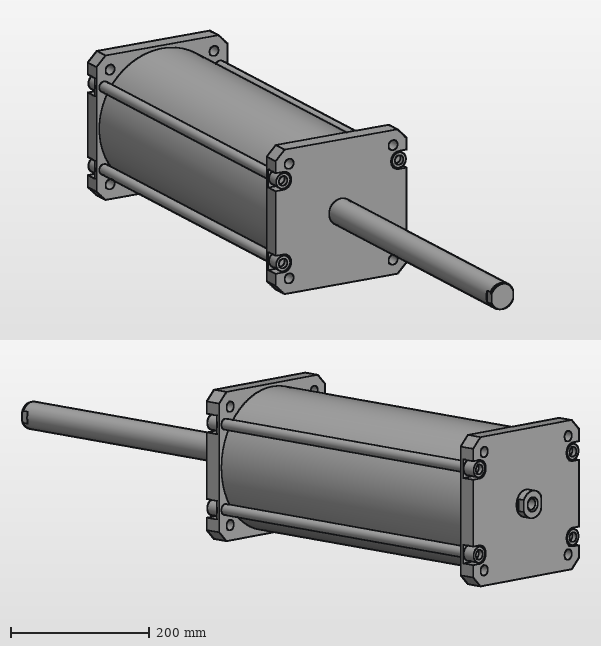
import cadquery as cq
import math

TOTAL_LENGTH = 1012.0

PLATE_SIZE = 220.0
PLATE_THICKNESS = 25.0
PLATE_CORNER_CHAMFER = 15.0
MOUNT_HOLE_OFFSET = 87.0
MOUNT_HOLE_DIAMETER = 15.0

TUBE_LENGTH = 487.0
TUBE_DIAMETER = 210.0

ROD_DIAMETER = 40.0
ROD_REAR_PROJECTION = 13.0
ROD_ACROSS_FLATS = 36.0
REAR_FLAT_LENGTH = 10.0
FRONT_FLAT_LENGTH = 12.0
FRONT_TAPER_LENGTH = 3.0
FRONT_TAPER_DEPTH = 1.0
BORE_DIAMETER = 16.0
BORE_DEPTH = 30.0
BORE_MOUTH_DIAMETER = 21.0
BORE_TIP_ANGLE = 118

TIE_ROD_Y = 97.0
TIE_ROD_Z = 63.0
TIE_ROD_DIAMETER = 16.0
HEAD_DIAMETER = 23.0
HEAD_RECESS_WIDTH = 27.0
HEAD_RECESS_DEPTH = 20.0
SOCKET_DIAMETER = 14.0
SOCKET_DEPTH = 8.0

REAR_PLATE_X = ROD_REAR_PROJECTION
TUBE_X = REAR_PLATE_X + PLATE_THICKNESS
FRONT_PLATE_X = TUBE_X + TUBE_LENGTH
FRONT_FACE_X = FRONT_PLATE_X + PLATE_THICKNESS

SIDES = (-1, 1)
TIE_ROD_POINTS = [(y * TIE_ROD_Y, z * TIE_ROD_Z) for y in SIDES for z in SIDES]
MOUNT_POINTS = [(y * MOUNT_HOLE_OFFSET, z * MOUNT_HOLE_OFFSET) for y in SIDES for z in SIDES]


def section(x):
    """Sketch plane across the cylinder axis, whose local axes are global Y and Z."""
    return cq.Workplane("YZ", origin=(x, 0, 0))


def head_recess(x, y, z):
    """Round pocket for a tie rod head, open through the nearer Y side of the plate."""
    side = 1 if y > 0 else -1
    slot_length = PLATE_SIZE / 2 - abs(y)
    pocket = section(x).center(y, z).circle(HEAD_RECESS_WIDTH / 2).extrude(HEAD_RECESS_DEPTH)
    slot = (
        section(x)
        .center(y + side * slot_length / 2, z)
        .rect(slot_length, HEAD_RECESS_WIDTH)
        .extrude(HEAD_RECESS_DEPTH)
    )
    return pocket.union(slot)


def end_plate(x, recess_x):
    """Square plate from x, with its head recesses starting at recess_x."""
    plate = section(x).rect(PLATE_SIZE, PLATE_SIZE).extrude(PLATE_THICKNESS)
    plate = plate.edges("|X").chamfer(PLATE_CORNER_CHAMFER)
    holes = section(x).circle(ROD_DIAMETER / 2).extrude(PLATE_THICKNESS)
    holes = holes.union(
        section(x).pushPoints(MOUNT_POINTS).circle(MOUNT_HOLE_DIAMETER / 2).extrude(PLATE_THICKNESS)
    )
    holes = holes.union(
        section(x).pushPoints(TIE_ROD_POINTS).circle(TIE_ROD_DIAMETER / 2).extrude(PLATE_THICKNESS)
    )
    plate = plate.cut(holes)
    for y, z in TIE_ROD_POINTS:
        plate = plate.cut(head_recess(recess_x, y, z))
    return plate


def cylinder_tube():
    """Barrel between the plates, bored to run on the piston rod."""
    return section(TUBE_X).circle(TUBE_DIAMETER / 2).circle(ROD_DIAMETER / 2).extrude(TUBE_LENGTH)


def rod_flats(x, length):
    """Material removed outside the two wrench flats, which face -Y and +Y."""
    return section(x).rect(2 * ROD_DIAMETER, ROD_DIAMETER).rect(ROD_ACROSS_FLATS, ROD_DIAMETER).extrude(length)


def rear_bore():
    """Blind bore in the rear end of the rod, with a countersunk mouth and a drill-point bottom."""
    radius = BORE_DIAMETER / 2
    mouth_radius = BORE_MOUTH_DIAMETER / 2
    tip_length = radius / math.tan(math.radians(BORE_TIP_ANGLE / 2))
    half_profile = (
        cq.Workplane("XY")
        .lineTo(0, mouth_radius)
        .lineTo(mouth_radius - radius, radius)
        .lineTo(BORE_DEPTH, radius)
        .lineTo(BORE_DEPTH + tip_length, 0)
        .close()
    )
    return half_profile.revolve(360, (0, 0, 0), (1, 0, 0))


def piston_rod():
    """Through rod with wrench flats at both ends, a rear bore and a tapered front end."""
    rod = section(0).circle(ROD_DIAMETER / 2).extrude(TOTAL_LENGTH)
    rod = rod.faces(">X").chamfer(FRONT_TAPER_LENGTH, FRONT_TAPER_DEPTH)
    rod = rod.cut(rod_flats(0, REAR_FLAT_LENGTH))
    rod = rod.cut(rod_flats(TOTAL_LENGTH - FRONT_FLAT_LENGTH, FRONT_FLAT_LENGTH))
    return rod.cut(rear_bore())


def tie_rod(y, z):
    """Rod joining the plates, with a socket head sunk flush in each plate."""
    rear_seat = REAR_PLATE_X + HEAD_RECESS_DEPTH
    front_seat = FRONT_FACE_X - HEAD_RECESS_DEPTH
    rod = section(rear_seat).center(y, z).circle(TIE_ROD_DIAMETER / 2).extrude(front_seat - rear_seat)
    for seat, direction in ((rear_seat, -1), (front_seat, 1)):
        outer = seat + direction * HEAD_RECESS_DEPTH
        rod = rod.union(
            section(seat).center(y, z).circle(HEAD_DIAMETER / 2).extrude(direction * HEAD_RECESS_DEPTH)
        )
        rod = rod.cut(
            section(outer).center(y, z).circle(SOCKET_DIAMETER / 2).extrude(-direction * SOCKET_DEPTH)
        )
    return rod


rear_plate = end_plate(REAR_PLATE_X, REAR_PLATE_X)
front_plate = end_plate(FRONT_PLATE_X, FRONT_FACE_X - HEAD_RECESS_DEPTH)
tube = cylinder_tube()
rod = piston_rod()
tie_rods = [tie_rod(y, z) for y, z in TIE_ROD_POINTS]

result = cq.Compound.makeCompound(
    [rear_plate.val(), front_plate.val(), tube.val(), rod.val(), *[bar.val() for bar in tie_rods]]
)